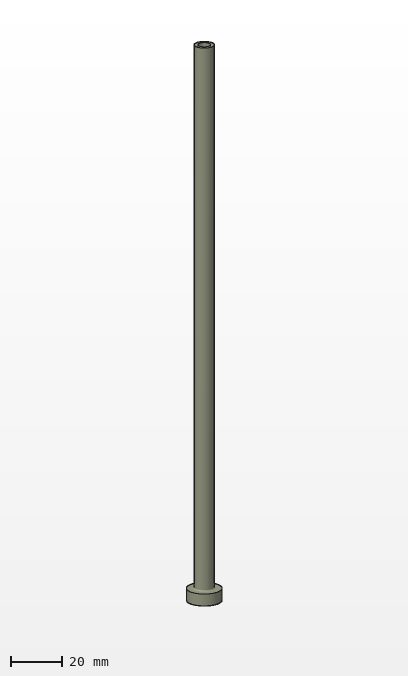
import cadquery as cq

total_length = 230.0
head_diameter = 14.0
head_height = 5.0
shank_diameter = 8.0
bore_diameter = 5.0
neck_fillet = 0.5

head_radius = head_diameter / 2
shank_radius = shank_diameter / 2

head_bottom = -head_height
shank_length = total_length - head_height


def make_body():
    """Revolve the head and shank, with a concave fillet where they meet."""
    profile = (
        cq.Workplane("XZ")
        .moveTo(0, head_bottom)
        .lineTo(-head_radius, head_bottom)
        .lineTo(-head_radius, 0)
        .lineTo(-shank_radius - neck_fillet, 0)
        .radiusArc((-shank_radius, neck_fillet), -neck_fillet)
        .lineTo(-shank_radius, shank_length)
        .lineTo(0, shank_length)
        .close()
    )
    return profile.revolve(360, (0, 0, 0), (0, 1, 0))


def make_bore():
    """Cylinder that opens the sleeve along its whole length."""
    return (
        cq.Workplane("XY")
        .workplane(offset=head_bottom)
        .circle(bore_diameter / 2)
        .extrude(total_length)
    )


result = make_body().cut(make_bore())